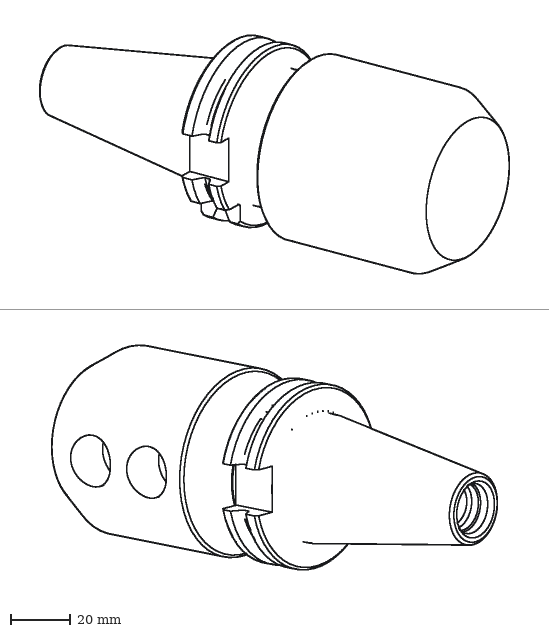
import cadquery as cq
import math


total_length = 168.2
gauge_x = 68.3
flange_start = 71.3
flange_end = 87.3
body_start = 103.3
nose_start = 155.3

taper_per_length = 7 / 24
gauge_radius = 22.2
small_end_radius = gauge_radius - gauge_x * taper_per_length / 2
gauge_blend = 0.5
collar_fillet = 0.7
edge_chamfer = 1.0

flange_radius = 31.8
groove_x = 79.5
groove_width = 6.9
groove_floor_radius = 28.0
groove_half_angle = 30
groove_blend = 0.3

neck_radius = 24.0
neck_fillet = 1.0
body_radius = 32.5
nose_half_angle = 30
nose_chamfer = 0.5
nose_blend = 0.25

slot_width = 16.0
front_slot_floor = 25.0
back_slot_floor = 22.7
slot_overrun = 0.25
notch_offset = 18.3
notch_corner_radius = 1.0

screw_count = 2
screw_radius = 9.0
screw_floor = 16.0
screw_spacing = 25.0
screw_to_nose = 24.0

mouth_radius = 9.8
mouth_depth = 2.0
pilot_radius = 8.5
pilot_depth = 5.2
thread_lead_in = 0.5
thread_radius = 8.0
thread_depth = 8.7
thread_run_out = 1.2
drill_radius = 6.9
drill_depth = 32.0
drill_point_half_angle = 59


def tan_deg(angle):
    return math.tan(math.radians(angle))


def turned_blank():
    """Everything round about the X axis, revolved from a half section."""
    groove_depth = flange_radius - groove_floor_radius
    groove_floor_half = groove_width / 2 - groove_depth * tan_deg(groove_half_angle)
    blend_half = groove_floor_half + groove_blend * math.sin(math.radians(groove_half_angle))
    blend_radius = groove_floor_radius + groove_blend * math.cos(math.radians(groove_half_angle))
    nose_radius = body_radius - (total_length - nose_start) * tan_deg(nose_half_angle)
    nose_chamfer_x = total_length - nose_chamfer
    nose_chamfer_radius = nose_radius + nose_chamfer * tan_deg(nose_half_angle)
    collar_inset = collar_fillet * (1 - math.sqrt(0.5))
    neck_inset = neck_fillet * (1 - math.sqrt(0.5))

    return (
        cq.Workplane("XY")
        .moveTo(0, 0)
        .lineTo(0, small_end_radius - edge_chamfer)
        .lineTo(edge_chamfer, small_end_radius + edge_chamfer * taper_per_length / 2)
        .lineTo(gauge_x - gauge_blend, gauge_radius - gauge_blend * taper_per_length / 2)
        .tangentArcPoint((gauge_x + gauge_blend, gauge_radius), relative=False)
        .lineTo(flange_start - collar_fillet, gauge_radius)
        .threePointArc(
            (flange_start - collar_inset, gauge_radius + collar_inset),
            (flange_start, gauge_radius + collar_fillet),
        )
        .lineTo(flange_start, flange_radius - edge_chamfer)
        .lineTo(flange_start + edge_chamfer, flange_radius)
        .lineTo(groove_x - groove_width / 2, flange_radius)
        .lineTo(groove_x - blend_half, blend_radius)
        .tangentArcPoint(
            (groove_x - groove_floor_half + groove_blend, groove_floor_radius), relative=False
        )
        .lineTo(groove_x + groove_floor_half - groove_blend, groove_floor_radius)
        .tangentArcPoint((groove_x + blend_half, blend_radius), relative=False)
        .lineTo(groove_x + groove_width / 2, flange_radius)
        .lineTo(flange_end - edge_chamfer, flange_radius)
        .lineTo(flange_end, flange_radius - edge_chamfer)
        .lineTo(flange_end, neck_radius + neck_fillet)
        .threePointArc(
            (flange_end + neck_inset, neck_radius + neck_inset),
            (flange_end + neck_fillet, neck_radius),
        )
        .lineTo(body_start - neck_fillet, neck_radius)
        .threePointArc(
            (body_start - neck_inset, neck_radius + neck_inset),
            (body_start, neck_radius + neck_fillet),
        )
        .lineTo(body_start, body_radius - edge_chamfer)
        .lineTo(body_start + edge_chamfer, body_radius)
        .lineTo(nose_start - nose_blend, body_radius)
        .tangentArcPoint(
            (
                nose_start + nose_blend * math.cos(math.radians(nose_half_angle)),
                body_radius - nose_blend * math.sin(math.radians(nose_half_angle)),
            ),
            relative=False,
        )
        .lineTo(nose_chamfer_x, nose_chamfer_radius)
        .lineTo(total_length, nose_chamfer_radius - nose_chamfer)
        .lineTo(total_length, 0)
        .close()
        .revolve(360, (0, 0, 0), (1, 0, 0))
    )


def pull_stud_hole():
    """Stepped hole on the axis, opening at the small end and closing in a drill point."""
    drill_tip = drill_depth + drill_radius / tan_deg(drill_point_half_angle)
    return (
        cq.Workplane("XY")
        .moveTo(0, 0)
        .lineTo(0, mouth_radius)
        .lineTo(mouth_depth, pilot_radius)
        .lineTo(pilot_depth, pilot_radius)
        .lineTo(pilot_depth + thread_lead_in, thread_radius)
        .lineTo(thread_depth, thread_radius)
        .lineTo(thread_depth + thread_run_out, drill_radius)
        .lineTo(drill_depth, drill_radius)
        .lineTo(drill_tip, 0)
        .close()
        .revolve(360, (0, 0, 0), (1, 0, 0))
    )


def flange_block(y_size, z_size):
    """A cutting block through the flange, with its -Y and -Z faces on the axis planes."""
    length = flange_end + slot_overrun - flange_start
    return (
        cq.Workplane("XY", origin=(flange_start, 0, 0))
        .box(length, y_size, z_size, centered=False)
    )


def drive_slots():
    """Two slots across the flange rim, the deeper one on the +Y side."""
    reach = body_radius
    block = flange_block(reach, slot_width).translate((0, 0, -slot_width / 2))
    back = block.translate((0, back_slot_floor, 0))
    front = block.translate((0, -front_slot_floor - reach, 0))
    return back.union(front)


def orientation_notch():
    """Square notch in the -Y, -Z quarter of the flange rim, rounded in its corner."""
    reach = body_radius
    return (
        flange_block(reach, reach)
        .edges("|X and >Y and >Z")
        .fillet(notch_corner_radius)
        .translate((0, -notch_offset - reach, -notch_offset - reach))
    )


def clamping_screw_holes():
    """A row of blind holes into the +Y side of the body."""
    front_hole_x = total_length - screw_to_nose
    holes = [(front_hole_x - index * screw_spacing, 0) for index in range(screw_count)]
    return (
        cq.Workplane("XZ", origin=(0, screw_floor, 0))
        .pushPoints(holes)
        .circle(screw_radius)
        .extrude(-body_radius)
    )


result = (
    turned_blank()
    .cut(pull_stud_hole())
    .cut(drive_slots())
    .cut(orientation_notch())
    .cut(clamping_screw_holes())
)